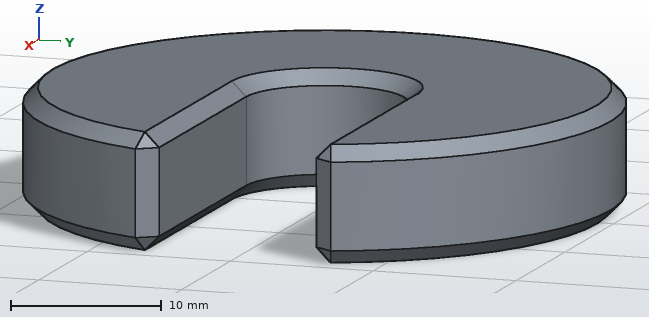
import cadquery as cq
import math

diameter = 40.0
thickness = 8.0
slot_width = 11.0
chamfer = 1.0

disc = cq.Workplane("XY").circle(diameter / 2).extrude(thickness)

slot = (
    cq.Workplane("XY")
    .moveTo(0, slot_width / 2)
    .lineTo(diameter, slot_width / 2)
    .lineTo(diameter, -slot_width / 2)
    .lineTo(0, -slot_width / 2)
    .threePointArc((-slot_width / 2, 0), (0, slot_width / 2))
    .close()
    .extrude(thickness)
)
washer = disc.cut(slot)

washer = washer.faces("<Z or >Z").edges().chamfer(chamfer)

flat_radius = diameter / 2 - chamfer
flat_corner_y = slot_width / 2 + chamfer
flat_corner_x = math.sqrt(flat_radius**2 - flat_corner_y**2)

wall_point = cq.Vector(flat_corner_x, slot_width / 2, 0)
flat_corner = cq.Vector(flat_corner_x, flat_corner_y, 0)
rim_point = flat_corner * (diameter / 2 / flat_radius)
along = (rim_point - wall_point).normalized()
outward = cq.Vector(along.y, -along.x, 0)
facet_depth = (flat_corner - wall_point).dot(outward)

reach = 3 * chamfer

mouth_cutter = (
    cq.Workplane(cq.Plane(origin=wall_point, xDir=outward, normal=-along))
    .polyline(
        [
            (facet_depth, 0),
            (0, chamfer),
            (0, thickness - chamfer),
            (facet_depth, thickness),
            (reach, thickness),
            (reach, 0),
        ]
    )
    .close()
    .extrude(reach, both=True)
)
result = washer.cut(mouth_cutter).cut(mouth_cutter.mirror("XZ"))